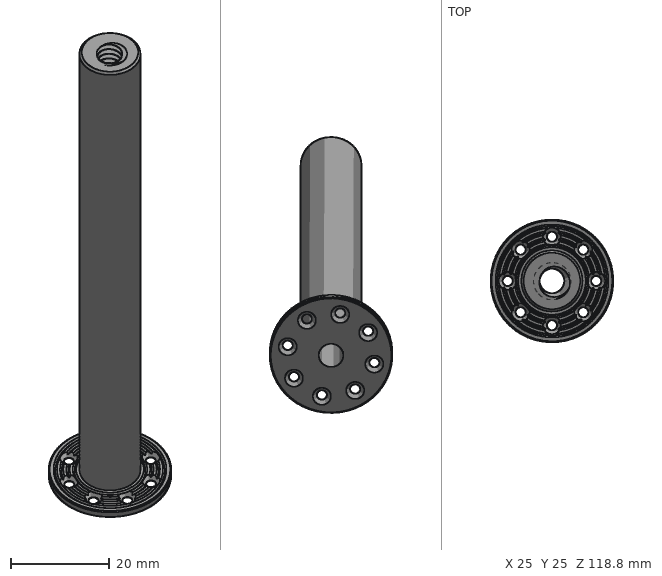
import cadquery as cq

total_height = 118.8
tube_diameter = 12.5
tube_top_chamfer = 0.5

flange_diameter = 25.0
flange_thickness = 1.8
flange_chamfer = 0.2

bore_diameter = 5.0
thread_pitch = 1.3
thread_root_diameter = 7.6
thread_turns = 8
thread_exit_angle = 340.0
thread_length = thread_pitch * (thread_turns + thread_exit_angle / 360)
thread_overlap = 0.06
thread_crest_width = 0.06

hole_count = 8
hole_diameter = 2.0
hole_circle_diameter = 18.0
countersink_diameter = 3.7

groove_count = 4
first_groove_radius = 7.2
groove_spacing = 1.3
groove_width = 0.7
groove_depth = groove_width / 2


def make_flange():
    flange = cq.Workplane("XY").circle(flange_diameter / 2).extrude(flange_thickness)
    return flange.edges().chamfer(flange_chamfer)


def make_groove_ring(radius):
    """Ring with a V section, pointing down from the upper face of the flange."""
    section = (
        cq.Workplane("XZ")
        .moveTo(radius - groove_width / 2, flange_thickness)
        .lineTo(radius, flange_thickness - groove_depth)
        .lineTo(radius + groove_width / 2, flange_thickness)
        .close()
    )
    return section.revolve(360, (0, 0), (0, 1))


def make_screw_holes():
    """Cutters for the screw holes, countersunk from both faces of the flange."""
    hole_radius = hole_diameter / 2
    countersink_radius = countersink_diameter / 2
    countersink_depth = countersink_radius - hole_radius
    cutter = (
        cq.Workplane("XZ")
        .moveTo(0, 0)
        .lineTo(countersink_radius, 0)
        .lineTo(hole_radius, countersink_depth)
        .lineTo(hole_radius, flange_thickness - countersink_depth)
        .lineTo(countersink_radius, flange_thickness)
        .lineTo(0, flange_thickness)
        .close()
        .revolve(360, (0, 0), (0, 1))
    )
    places = cq.Workplane("XY").polarArray(hole_circle_diameter / 2, 0, 360, hole_count)
    return places.eachpoint(cutter.val(), combine="a")


def make_tube():
    tube = cq.Workplane("XY").circle(tube_diameter / 2).extrude(total_height)
    return tube.faces(">Z").edges().chamfer(tube_top_chamfer)


def make_thread_groove():
    """Helical groove that runs out through the top of the tube."""
    inner_radius = bore_diameter / 2 - thread_overlap
    half_width = (thread_pitch - thread_crest_width) / 2
    start_height = total_height - thread_length
    helix = cq.Wire.makeHelix(thread_pitch, thread_length + thread_pitch, bore_diameter / 2)
    groove = (
        cq.Workplane("XZ")
        .moveTo(inner_radius, -half_width)
        .lineTo(thread_root_diameter / 2, 0)
        .lineTo(inner_radius, half_width)
        .close()
        .sweep(cq.Workplane(helix), isFrenet=True)
    )
    return groove.translate((0, 0, start_height))


flange = make_flange()
for index in range(groove_count):
    flange = flange.cut(make_groove_ring(first_groove_radius + index * groove_spacing))
flange = flange.cut(make_screw_holes())

tube = make_tube().cut(make_thread_groove())
bore = cq.Workplane("XY").circle(bore_diameter / 2).extrude(total_height)
result = flange.union(tube).cut(bore)